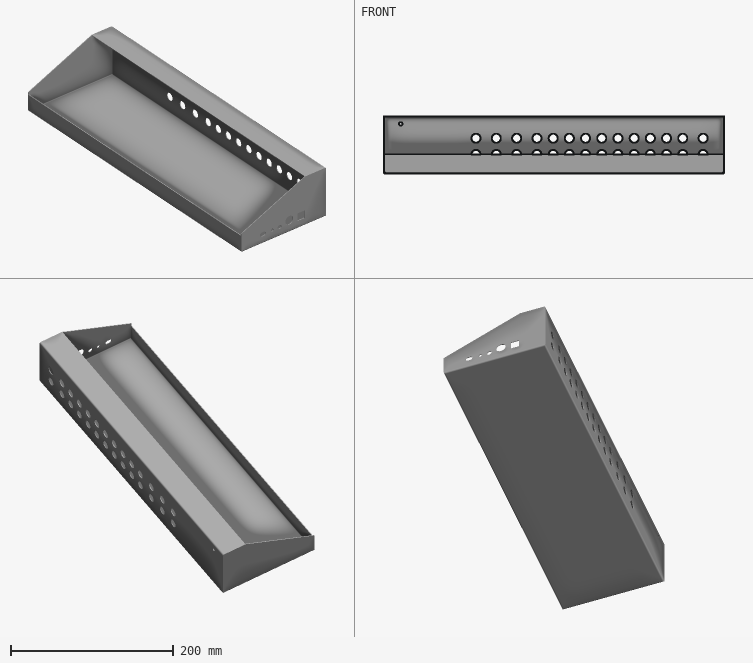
import cadquery as cq

length = 420.0
depth = 134.0
height = 71.0

sheet = 1.0
bend_radius = 2.0
flange_depth = 33.0
lip_height = 24.0
side_front_height = 27.5

row_hole_diameter = 11.0
row_start_x = -96.0
wide_steps = 3
wide_run = 75.0
narrow_steps = 9
narrow_run = 179.8
wide_pitch = wide_run / wide_steps
narrow_pitch = narrow_run / narrow_steps
hole_pitches = [wide_pitch] * wide_steps + [narrow_pitch] * narrow_steps + [wide_pitch]
upper_row_z = 43.5
lower_row_z = upper_row_z - narrow_pitch

pilot_diameter = 4.0
pilot_x = -189.0
pilot_z = 61.5

socket_size = 11.0
socket_from_front = 94.0
socket_z = 16.5
round_openings = [
    (12.0, 75.5, 17.2),
    (6.0, 60.0, 13.5),
    (4.0, 48.5, 13.5),
]
slot_length = 9.0
slot_height = 6.0
slot_from_front = 33.5
slot_z = 13.5

front_y = -depth / 2
back_y = depth / 2
side_x = length / 2
cut_reach = 2 * sheet


def make_shell():
    """Tray with rounded lower edges and a rounded edge above the back wall."""
    outer = cq.Workplane("XY").box(length, depth, height, centered=(True, True, False))
    outer = outer.edges("<Z").fillet(bend_radius)
    outer = outer.edges(">Y and >Z").fillet(bend_radius)
    cavity = (
        cq.Workplane("XY")
        .workplane(offset=sheet)
        .box(length - 2 * sheet, depth - 2 * sheet, height - 2 * sheet, centered=(True, True, False))
    )
    inner_radius = bend_radius - sheet
    cavity = cavity.edges("<Z").fillet(inner_radius)
    cavity = cavity.edges(">Y and >Z").fillet(inner_radius)
    return outer.cut(cavity)


def make_front_opening():
    """Everything in front of the top flange and above the sloping sides."""
    flange_y = back_y - flange_depth
    return (
        cq.Workplane("YZ")
        .moveTo(flange_y, height)
        .lineTo(front_y, side_front_height)
        .lineTo(front_y, height)
        .close()
        .extrude(side_x, both=True)
    )


def make_flange_relief():
    """Space between the sides that gives the top flange a square front edge."""
    relief_depth = depth / 2
    return cq.Workplane("XY").box(
        length - 2 * sheet, relief_depth, 2 * sheet, centered=(True, False, True)
    ).translate((0, back_y - flange_depth - relief_depth, height - sheet))


def make_lip_relief():
    """Space above the front lip, which is lower than the sides."""
    return cq.Workplane("XY").box(
        length - 2 * sheet, 2 * sheet, height, centered=(True, True, False)
    ).translate((0, front_y, lip_height))


def back_hole(x, z, diameter):
    return (
        cq.Workplane("XZ", origin=(x, back_y, z))
        .circle(diameter / 2)
        .extrude(cut_reach, both=True)
    )


def side_sketch(from_front, z):
    """Workplane on the +X side, with local axes along Y and Z."""
    return cq.Workplane("YZ", origin=(side_x, front_y + from_front, z))


result = make_shell().cut(make_front_opening())
result = result.cut(make_flange_relief()).cut(make_lip_relief())

hole_x = row_start_x
for pitch in hole_pitches + [0]:
    for row_z in (lower_row_z, upper_row_z):
        result = result.cut(back_hole(hole_x, row_z, row_hole_diameter))
    hole_x += pitch

result = result.cut(back_hole(pilot_x, pilot_z, pilot_diameter))

socket = side_sketch(socket_from_front, socket_z).rect(socket_size, socket_size)
result = result.cut(socket.extrude(cut_reach, both=True))
for diameter, from_front, z in round_openings:
    opening = side_sketch(from_front, z).circle(diameter / 2)
    result = result.cut(opening.extrude(cut_reach, both=True))
slot = side_sketch(slot_from_front, slot_z).slot2D(slot_length, slot_height)
result = result.cut(slot.extrude(cut_reach, both=True))